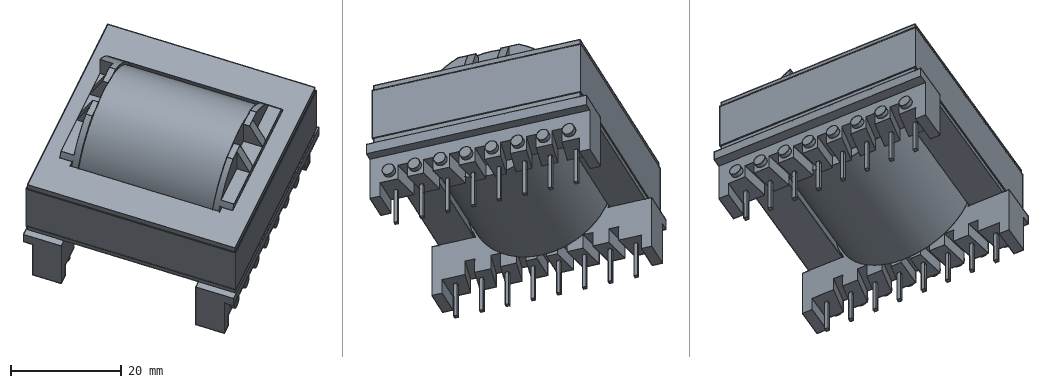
import cadquery as cq
import math


CORE_X = 40.5
CORE_Y = 40.05
CORE_Z = 13.05
BAND_OVERHANG = 0.2
BAND_Z = 10.75
CAVITY_RADIUS = 14.7
CAVITY_X = 29.2

WINDING_RADIUS = 13.9
WINDING_X = 26.2
FLANGE_RADIUS = 14.45
FLANGE_THICKNESS = 1.25
FLANGE_TOP = 13.2

LEDGE_BOTTOM = 7.15
LEDGE_TOP = 8.25
LEDGE_DEPTH = 2.5
RIB_INNER_Y = 2.4
RIB_THICKNESS = 1.62
BLOCK_START_Y = 7.6

RAIL_X = 41.0
RAIL_Y = 42.7
RAIL_PLATE_Z = 2.15
RAIL_WALL_DEPTH = 5.6
RAIL_WALL_BOTTOM = -14.48
FOOT_BOTTOM = -17.5
FOOT_WIDTH = 2.0

PINS_PER_RAIL = 8
PIN_PITCH = 5.0
PIN_X = 15.37
PIN_SIZE = 0.7
OVERALL_Z = 35.65
PIN_BOTTOM = WINDING_RADIUS - OVERALL_Z
STUD_RADIUS = 1.15
STUD_LENGTH = 0.9
STUD_Z = -12.5
SLOT_WIDTH = 1.9
SLOT_TOP = -11.45
SLOT_SHIFT = 1.02

CORE_BOTTOM = -CORE_Z / 2
FLANGE_INNER_X = WINDING_X / 2
FLANGE_OUTER_X = FLANGE_INNER_X + FLANGE_THICKNESS
LEDGE_OUTER_X = FLANGE_OUTER_X + LEDGE_DEPTH
RIB_OUTER_Y = RIB_INNER_Y + RIB_THICKNESS
WALL_OUTER_X = FLANGE_INNER_X + RAIL_WALL_DEPTH
PIN_SPAN = (PINS_PER_RAIL - 1) * PIN_PITCH
PIN_YS = [i * PIN_PITCH - PIN_SPAN / 2 for i in range(PINS_PER_RAIL)]
SLOT_YS = [y + PIN_PITCH / 2 for y in PIN_YS[:-1]]


def box(x0, x1, y0, y1, z0, z1):
    """Box between two limits on each axis."""
    return cq.Workplane("XY").box(x1 - x0, y1 - y0, z1 - z0, centered=False).translate((x0, y0, z0))


def x_cylinder(radius, x0, x1, y=0, z=0):
    """Cylinder along X between x0 and x1."""
    return cq.Workplane("YZ", origin=(x0, y, z)).circle(radius).extrude(x1 - x0)


def make_core():
    """Rectangular core with a raised band and a round opening for the winding."""
    core = cq.Workplane("XY").box(CORE_X, CORE_Y, CORE_Z)
    band = cq.Workplane("XY").box(CORE_X + 2 * BAND_OVERHANG, CORE_Y + 2 * BAND_OVERHANG, BAND_Z)
    cavity = x_cylinder(CAVITY_RADIUS, -CAVITY_X / 2, CAVITY_X / 2)
    return core.union(band).cut(cavity)


def make_flange():
    """Round flange on the +X end, flat on top, with a notch in the middle."""
    flange = x_cylinder(FLANGE_RADIUS, FLANGE_INNER_X, FLANGE_OUTER_X)
    flat = box(FLANGE_INNER_X, FLANGE_OUTER_X, -FLANGE_RADIUS, FLANGE_RADIUS, FLANGE_TOP, FLANGE_RADIUS)
    notch = box(FLANGE_INNER_X, FLANGE_OUTER_X, -RIB_INNER_Y, RIB_INNER_Y, LEDGE_TOP, FLANGE_RADIUS)
    return flange.cut(flat).cut(notch)


def make_ledge():
    """Ledge outside the +X flange; its ends follow the flange radius."""
    ledge = box(FLANGE_OUTER_X, LEDGE_OUTER_X, -FLANGE_RADIUS, FLANGE_RADIUS, LEDGE_BOTTOM, LEDGE_TOP)
    return ledge.intersect(x_cylinder(FLANGE_RADIUS, FLANGE_OUTER_X, LEDGE_OUTER_X))


def make_rib(y_start):
    """Triangular rib from the top of the +X flange to the edge of its ledge."""
    corners = [(FLANGE_OUTER_X, LEDGE_TOP), (LEDGE_OUTER_X, LEDGE_TOP), (FLANGE_OUTER_X, FLANGE_TOP)]
    rib = cq.Workplane("XZ").polyline(corners).close().extrude(-RIB_THICKNESS)
    return rib.translate((0, y_start, 0))


def make_end_block():
    """Solid segment outside the -X flange, above the +Y end of its ledge."""
    block = box(-LEDGE_OUTER_X, -FLANGE_OUTER_X, BLOCK_START_Y, FLANGE_RADIUS, LEDGE_TOP, FLANGE_RADIUS)
    return block.intersect(x_cylinder(FLANGE_RADIUS, -LEDGE_OUTER_X, -FLANGE_OUTER_X))


def make_slot(y):
    """Wire slot through the +X rail wall; all but the middle one slant toward the middle."""
    shift = 0 if abs(y) < SLOT_WIDTH else -math.copysign(SLOT_SHIFT, y)
    half = SLOT_WIDTH / 2
    corners = [
        (WALL_OUTER_X, y - half),
        (WALL_OUTER_X, y + half),
        (FLANGE_INNER_X, y + shift + half),
        (FLANGE_INNER_X, y + shift - half),
    ]
    slot = cq.Workplane("XY", origin=(0, 0, RAIL_WALL_BOTTOM)).polyline(corners).close()
    return slot.extrude(SLOT_TOP - RAIL_WALL_BOTTOM)


def make_pin(y):
    """Square pin below the +X rail wall."""
    half = PIN_SIZE / 2
    return box(PIN_X - half, PIN_X + half, y - half, y + half, PIN_BOTTOM, RAIL_WALL_BOTTOM)


def make_rail():
    """+X rail: top plate, wall and two end feet."""
    half_y = RAIL_Y / 2
    plate = box(FLANGE_INNER_X, RAIL_X / 2, -half_y, half_y, CORE_BOTTOM - RAIL_PLATE_Z, CORE_BOTTOM)
    rail = plate.union(box(FLANGE_INNER_X, WALL_OUTER_X, -half_y, half_y, RAIL_WALL_BOTTOM, CORE_BOTTOM))
    for y in (-half_y, half_y - FOOT_WIDTH):
        foot = box(FLANGE_INNER_X, WALL_OUTER_X, y, y + FOOT_WIDTH, FOOT_BOTTOM, CORE_BOTTOM)
        rail = rail.union(foot)
    return rail


def make_end():
    """Everything at the +X end of the winding that both ends share."""
    end = make_flange().union(make_ledge()).union(make_rail())
    for y in (RIB_INNER_Y, -RIB_OUTER_Y):
        end = end.union(make_rib(y))
    for y in SLOT_YS:
        end = end.cut(make_slot(y))
    for y in PIN_YS:
        pin = make_pin(y)
        stud = x_cylinder(STUD_RADIUS, WALL_OUTER_X, WALL_OUTER_X + STUD_LENGTH, y, STUD_Z)
        end = end.union(pin).union(stud)
    return end


def make_bobbin():
    """Wound bobbin: winding, two mirrored ends and the single block on the -X end."""
    end = make_end()
    winding = x_cylinder(WINDING_RADIUS, -FLANGE_INNER_X, FLANGE_INNER_X)
    return winding.union(end).union(end.mirror("YZ")).union(make_end_block())


core = make_core()
bobbin = make_bobbin()

result = cq.Compound.makeCompound([core.val(), bobbin.val()])